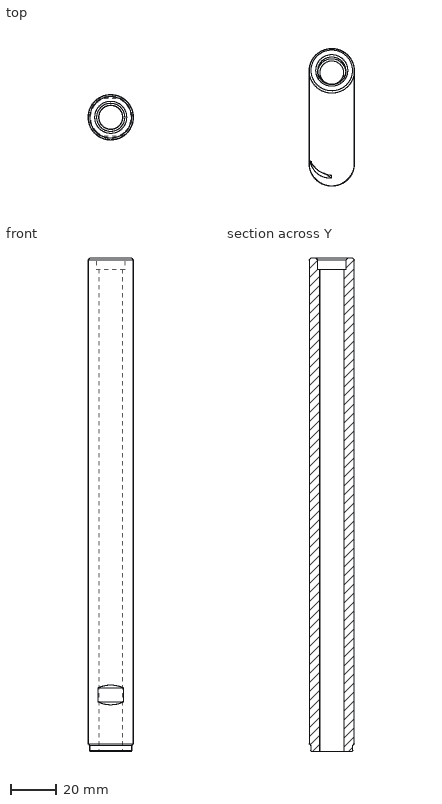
import cadquery as cq

length = 218.5
outer_diameter = 20.0
outer_radius = outer_diameter / 2
top_bevel = 0.9

spigot_diameter = 18.8
spigot_radius = spigot_diameter / 2
spigot_height = 2.8
spigot_edge_chamfer = 0.5
shoulder_bevel = outer_radius - spigot_radius

bore_diameter = 10.5
counterbore_diameter = 12.5
counterbore_depth = 5.0
mouth_chamfer = 0.9

flat_distance = 8.3
flat_bottom = 22.0
flat_height = 6.1
flat_end_flare = 1.3


def make_body():
    """Revolve the outside of the tube about Z."""
    profile = [
        (0, 0),
        (spigot_radius - spigot_edge_chamfer, 0),
        (spigot_radius, spigot_edge_chamfer),
        (spigot_radius, spigot_height),
        (outer_radius, spigot_height + shoulder_bevel),
        (outer_radius, length - top_bevel),
        (outer_radius - top_bevel, length),
        (0, length),
    ]
    return cq.Workplane("XZ").polyline(profile).close().revolve(360, (0, 0), (0, 1))


def make_bore():
    """Revolve the through bore with its chamfered counterbore at the top."""
    bore_radius = bore_diameter / 2
    counterbore_radius = counterbore_diameter / 2
    profile = [
        (0, 0),
        (bore_radius, 0),
        (bore_radius, length - counterbore_depth),
        (counterbore_radius, length - counterbore_depth),
        (counterbore_radius, length - mouth_chamfer),
        (counterbore_radius + mouth_chamfer, length),
        (0, length),
    ]
    return cq.Workplane("XZ").polyline(profile).close().revolve(360, (0, 0), (0, 1))


def make_flat_cutter(side):
    """Make a notch across X whose sloping ends open outward; side is -1 or +1 along Y."""
    flat_top = flat_bottom + flat_height
    profile = [
        (side * flat_distance, flat_bottom),
        (side * flat_distance, flat_top),
        (side * outer_radius, flat_top + flat_end_flare),
        (side * outer_radius, flat_bottom - flat_end_flare),
    ]
    return cq.Workplane("YZ").polyline(profile).close().extrude(outer_radius, both=True)


result = make_body().cut(make_bore())
for side in (-1, 1):
    result = result.cut(make_flat_cutter(side))